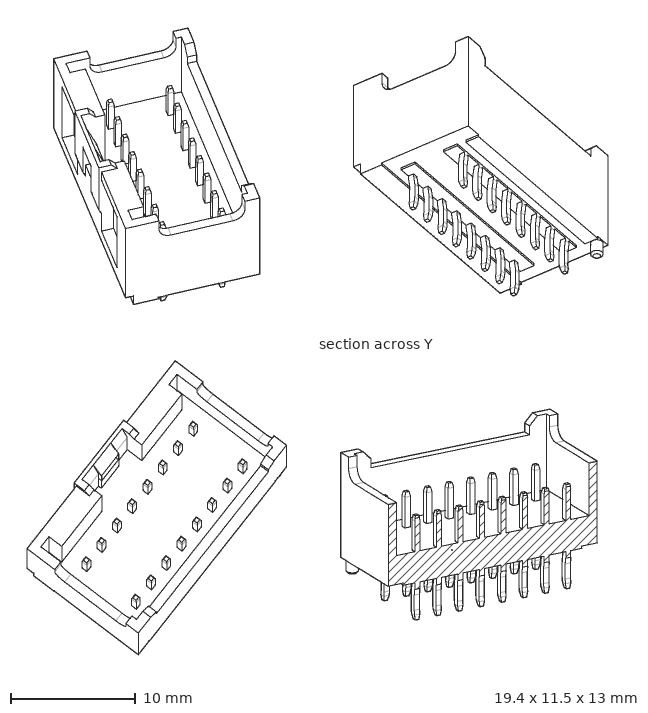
import cadquery as cq


pins_per_row = 8
pin_pitch = 2.0
row_spacing = 5.0
pin_width = 0.5
pin_tip_width = 0.33
pin_top = 5.75
pin_tip_height = 0.39
pin_bottom = -3.2
pin_lower_tip_height = 0.47
kink_start = -0.2
kink_end = -1.05
tail_bend = -2.35
kink_offset = 0.12
row_y = row_spacing / 2

length = 19.4
back = row_y + 2.35
body_depth = 11.27
front = back - body_depth
body_top = 9.2
underside = 0.2
wall = 0.8
floor_top = 2.72
inner_x = length / 2 - wall

block_inner_x = 2.62
block_outer_x = 7.85
block_depth = 2.1
recess_inner_x = 3.24
recess_outer_x = 7.41
recess_bottom = 2.21
recess_top = 8.2
recess_depth = 1.0

side_notch_back_land = 1.26
side_notch_width = 7.2
side_notch_depth = 1.98
side_notch_radius = 1.0
back_notch_half_width = 7.33
back_notch_depth = 1.5
back_notch_bevel = 0.74

step_depth = 0.68
step_height = 1.0
front_foot_depth = 2.08
back_foot_depth = 1.26
pad_depth = 1.35
foot_inset = 1.44

latch_half_width = recess_inner_x
latch_protrusion = 0.23
latch_front = front - latch_protrusion
latch_top = 9.75
latch_bottom = 4.25
latch_bottom_bevel = 0.52
latch_lip = 0.33
latch_arm_top_depth = 1.05
latch_arm_depth = 1.55
web_thickness = 0.85
catch_thickness = 1.15
catch_half_width = 1.15
window_half_width = 1.09
window_bottom = 5.55
window_top = 7.75

post_diameter = 1.0
post_x = -8.98
post_y = back - 0.6
post_bottom = -1.07
post_chamfer = 0.2


def box(x0, x1, y0, y1, z0, z1):
    """Block between opposite corners."""
    return cq.Workplane("XY").box(x1 - x0, y1 - y0, z1 - z0, centered=False).translate((x0, y0, z0))


def extrude_along_x(points, x0, x1):
    """Solid with a (y, z) outline between two X positions."""
    return cq.Workplane("YZ", origin=(x0, 0, 0)).polyline(points).close().extrude(x1 - x0)


def make_shell():
    """Open box with a floor, thick front blocks and a gap for the latch."""
    half = length / 2
    shell = box(-half, half, front, back, underside, body_top)
    shell = shell.cut(box(-inner_x, inner_x, front + wall, back - wall, floor_top, body_top))
    for x0, x1 in ((-block_outer_x, -block_inner_x), (block_inner_x, block_outer_x)):
        shell = shell.union(box(x0, x1, front, front + block_depth, floor_top, body_top))
    for x0, x1 in ((-recess_outer_x, -recess_inner_x), (recess_inner_x, recess_outer_x)):
        shell = shell.cut(box(x0, x1, front, front + recess_depth, recess_bottom, recess_top))
    gap = box(-block_inner_x, block_inner_x, front, front + block_depth, floor_top, body_top)
    return shell.cut(gap)


def cut_rim(shell):
    """Rounded notches in both end walls and one bevelled notch in the back wall."""
    notch_back = back - side_notch_back_land
    side_notch = (
        box(-length / 2, length / 2, notch_back - side_notch_width, notch_back,
            body_top - side_notch_depth, body_top + side_notch_depth)
        .edges("|X and <Z").fillet(side_notch_radius)
    )
    between_ends = box(-inner_x, inner_x, front, back, floor_top, body_top + side_notch_depth)
    side_notch = side_notch.cut(between_ends)

    bevel_x = back_notch_half_width + back_notch_bevel
    notch_floor = body_top - back_notch_depth
    bevel_bottom = body_top - back_notch_bevel
    back_notch = (
        cq.Workplane("XZ", origin=(0, back, 0))
        .moveTo(-bevel_x, body_top)
        .lineTo(-back_notch_half_width, bevel_bottom)
        .lineTo(-back_notch_half_width, notch_floor)
        .lineTo(back_notch_half_width, notch_floor)
        .lineTo(back_notch_half_width, bevel_bottom)
        .lineTo(bevel_x, body_top)
        .close()
        .extrude(wall)
    )
    return shell.cut(side_notch).cut(back_notch)


def make_inner_slope(half_width, thickness):
    """Wall behind the latch face that thins to the lip from the window top upward."""
    outline = [
        (front, floor_top),
        (latch_front + thickness, floor_top),
        (latch_front + thickness, window_top),
        (latch_front + latch_lip, latch_top),
        (front, latch_top),
    ]
    return extrude_along_x(outline, -half_width, half_width)


def make_latch():
    """Raised latch plate with side arms, sloped inner wall, catch and window."""
    plate = extrude_along_x(
        [
            (front, latch_bottom),
            (latch_front, latch_bottom + latch_bottom_bevel),
            (latch_front, latch_top),
            (front, latch_top),
        ],
        -latch_half_width, latch_half_width,
    )
    leg_gap = box(-window_half_width, window_half_width, latch_front, front, latch_bottom, window_top)
    latch = plate.cut(leg_gap)
    latch = latch.union(make_inner_slope(block_inner_x, web_thickness))
    latch = latch.union(make_inner_slope(catch_half_width, catch_thickness))
    arm = [
        (front, body_top),
        (latch_front + latch_arm_depth, body_top),
        (latch_front + latch_arm_top_depth, latch_top),
        (front, latch_top),
    ]
    for x0, x1 in ((-latch_half_width, -block_inner_x), (block_inner_x, latch_half_width)):
        latch = latch.union(extrude_along_x(arm, x0, x1))
    window = box(-window_half_width, window_half_width, latch_front, latch_front + catch_thickness,
                 window_bottom, window_top)
    return latch.cut(window)


def add_feet(body):
    """Step the lower front edge and add the seating feet."""
    half = length / 2
    step_y = front + step_depth
    body = body.cut(box(-half, half, front, step_y, underside, step_height))
    body = body.union(box(-half, half, step_y, step_y + front_foot_depth, 0, underside))
    foot_x = half - foot_inset
    pad_outer = row_y + pin_width / 2
    pad_inner = pad_outer - pad_depth
    for y0, y1 in ((back - back_foot_depth, back), (pad_inner, pad_outer), (-pad_outer, -pad_inner)):
        body = body.union(box(-foot_x, foot_x, y0, y1, 0, underside))
    return body


def make_post():
    """Locating post with a chamfered end."""
    return (
        cq.Workplane("XY", origin=(post_x, post_y, post_bottom))
        .circle(post_diameter / 2)
        .extrude(underside - post_bottom)
        .faces("<Z").chamfer(post_chamfer)
    )


def make_pin(x, side):
    """Square pin whose tail is kinked toward the middle; side is +1 for the back row."""
    kinked = -side * kink_offset
    lower_tip = pin_bottom + pin_lower_tip_height
    lower_tip_offset = kinked * (lower_tip - pin_bottom) / (tail_bend - pin_bottom)
    stations = [
        (0, pin_tip_width, pin_top),
        (0, pin_width, pin_top - pin_tip_height),
        (0, pin_width, kink_start),
        (kinked, pin_width, kink_end),
        (kinked, pin_width, tail_bend),
        (lower_tip_offset, pin_width, lower_tip),
        (0, pin_tip_width, pin_bottom),
    ]
    pin = cq.Workplane("XY")
    for (offset0, width0, z0), (offset1, width1, z1) in zip(stations, stations[1:]):
        segment = (
            cq.Workplane("XY", origin=(x, side * row_y, z0))
            .center(0, offset0).rect(width0, width0)
            .workplane(offset=z1 - z0)
            .center(0, offset1 - offset0).rect(width1, width1)
            .loft(ruled=True)
        )
        pin = pin.union(segment)
    return pin


result = add_feet(cut_rim(make_shell()).union(make_latch())).union(make_post())
for column in range(pins_per_row):
    pin_x = (column - (pins_per_row - 1) / 2) * pin_pitch
    for side in (-1, 1):
        result = result.union(make_pin(pin_x, side))